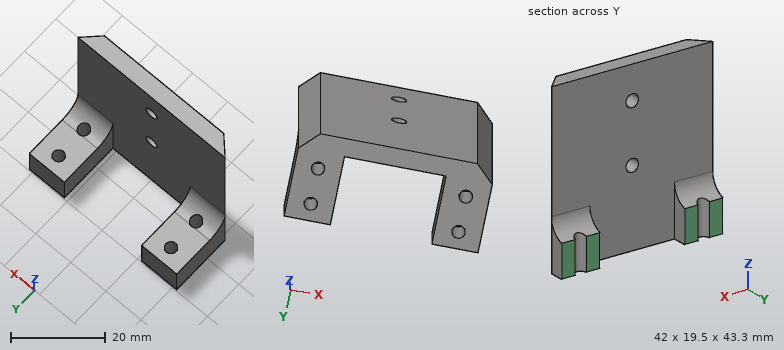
import cadquery as cq

width = 42.0
height = 43.3
plate_thickness = 4.03
bevel_width = 4.0
plate_hole_diameter = 3.2
lower_plate_hole_z = 19.85
plate_hole_spacing = 15.0

depth = 19.5
foot_width = 10.0
foot_height = 8.23
fillet_radius = 5.0
foot_hole_diameter = 2.8
foot_hole_spacing = 8.0
rear_hole_inset = 3.75

foot_center_x = (width - foot_width) / 2
rear_hole_y = depth - rear_hole_inset
front_hole_y = rear_hole_y - foot_hole_spacing


def make_plate():
    """Plate whose side bevels run to sharp edges at the inner face."""
    outer_half = width / 2 - bevel_width
    outline = [
        (-outer_half, 0),
        (outer_half, 0),
        (width / 2, plate_thickness),
        (-width / 2, plate_thickness),
    ]
    plate = cq.Workplane("XY").polyline(outline).close().extrude(height)
    for z in (lower_plate_hole_z, lower_plate_hole_z + plate_hole_spacing):
        hole = (
            cq.Workplane("XZ")
            .center(0, z)
            .circle(plate_hole_diameter / 2)
            .extrude(-plate_thickness)
        )
        plate = plate.cut(hole)
    return plate


def make_foot(center_x):
    """Foot with a concave fillet up to the plate and two vertical holes."""
    fillet_end_y = plate_thickness + fillet_radius
    fillet_top_z = foot_height + fillet_radius
    foot = (
        cq.Workplane("YZ", origin=(center_x, 0, 0))
        .moveTo(plate_thickness, 0)
        .lineTo(depth, 0)
        .lineTo(depth, foot_height)
        .lineTo(fillet_end_y, foot_height)
        .radiusArc((plate_thickness, fillet_top_z), fillet_radius)
        .close()
        .extrude(foot_width / 2, both=True)
    )
    holes = (
        cq.Workplane("XY")
        .pushPoints([(center_x, front_hole_y), (center_x, rear_hole_y)])
        .circle(foot_hole_diameter / 2)
        .extrude(fillet_top_z)
    )
    return foot.cut(holes)


result = make_plate()
for side in (-1, 1):
    result = result.union(make_foot(side * foot_center_x))